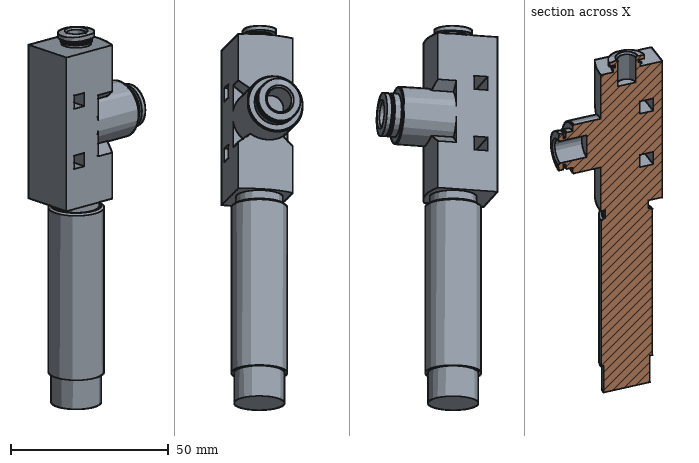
import cadquery as cq
import math

total_height = 123.5

base_diameter = 16.0
base_height = 10.0
sleeve_diameter = 17.8
sleeve_top = 65.3
sleeve_bevel_width = 0.9
sleeve_bevel_height = 0.6
neck_diameter = 15.0

block_width = 18.0
block_bottom = 68.2
block_top = 119.3
block_front = -12.2
block_back = 9.0
dome_sag = 1.7
block_middle = (block_bottom + block_top) / 2

mount_size = 4.5
mount_y = -6.8
mount_offset = 10.0

branch_diameter = 18.4
branch_end = 18.6
branch_edge_bevel = 0.4
overall_depth = 36.0
branch_tip = block_front + overall_depth

pocket_front = 1.2
pocket_height = 20.4
pocket_wall_angle = 37.0

bevel = 0.4
bore_bevel = 0.6
waist_height = 0.7
ring_thickness = 1.9
top_ring_width = 10.1
top_ring_length = 12.1
top_ring_slope_drop = 0.5
top_waist_diameter = 8.2
top_collar_diameter = 10.1
top_collar_foot_diameter = 9.5
top_collar_band = 0.4
top_bore_diameter = 6.0
top_bore_depth = 9.9
branch_ring_diameter = 13.8
branch_waist_diameter = 10.0
branch_bore_diameter = 8.0
branch_bore_depth = 9.9


def cylinder(diameter, bottom, top):
    return cq.Workplane("XY").workplane(offset=bottom).circle(diameter / 2).extrude(top - bottom)


def along_branch(shape):
    """Turn a shape built along +Z so that it lies along the branch axis, +Y."""
    return shape.rotate((0, 0, 0), (1, 0, 0), -90).translate((0, 0, block_middle))


def make_bore(diameter, depth, tip):
    """A blind bore with a bevelled mouth, reaching down from the tip of a fitting."""
    mouth = (
        cq.Workplane("XY").workplane(offset=tip).circle(diameter / 2 + bore_bevel)
        .extrude(-bore_bevel, taper=45)
    )
    return cylinder(diameter, tip - depth, tip).union(mouth)


def make_silencer():
    sleeve = cylinder(sleeve_diameter, base_height, sleeve_top)
    bevel_profile = [
        (sleeve_diameter / 2 - sleeve_bevel_width, sleeve_top),
        (sleeve_diameter / 2, sleeve_top),
        (sleeve_diameter / 2, sleeve_top - sleeve_bevel_height),
    ]
    bevel_ring = cq.Workplane("XZ").polyline(bevel_profile).close().revolve(360, (0, 0), (0, 1))
    base = cylinder(base_diameter, 0, base_height)
    neck = cylinder(neck_diameter, sleeve_top, block_bottom)
    return sleeve.cut(bevel_ring).union(base).union(neck)


def make_block():
    half_width = block_width / 2
    corner_y = block_back - dome_sag
    return (
        cq.Workplane("XY").workplane(offset=block_bottom)
        .moveTo(-half_width, block_front)
        .lineTo(half_width, block_front)
        .lineTo(half_width, corner_y)
        .threePointArc((0, block_back), (-half_width, corner_y))
        .close()
        .extrude(block_top - block_bottom)
    )


def make_pocket_cutter():
    """Both side openings: sloping walls that narrow toward the branch axis."""
    half_width = block_width / 2
    half_height = pocket_height / 2
    inner_z = half_height - half_width * math.tan(math.radians(pocket_wall_angle))
    profile = [
        (-half_width, -half_height),
        (0, -inner_z),
        (half_width, -half_height),
        (half_width, half_height),
        (0, inner_z),
        (-half_width, half_height),
    ]
    return along_branch(
        cq.Workplane("XY").workplane(offset=pocket_front).polyline(profile).close()
        .extrude(block_back - pocket_front)
    )


def make_mount_holes():
    return (
        cq.Workplane("YZ")
        .pushPoints([(mount_y, block_middle + side * mount_offset) for side in (-1, 1)])
        .rect(mount_size, mount_size)
        .extrude(block_width / 2, both=True)
    )


def make_branch():
    barrel = cylinder(branch_diameter, 0, branch_end).faces(">Z").chamfer(branch_edge_bevel)
    flats = cq.Workplane("XY").rect(block_width, branch_diameter).extrude(branch_end)
    return along_branch(barrel.intersect(flats))


def make_top_fitting():
    ring_bottom = total_height - ring_thickness
    collar_top = ring_bottom - waist_height
    band_bottom = collar_top - bevel - top_collar_band
    outline = (
        cq.Workplane("XY").workplane(offset=ring_bottom)
        .slot2D(top_ring_length, top_ring_width, 90)
        .extrude(ring_thickness)
    )
    mouth_radius = top_bore_diameter / 2 + bore_bevel
    slope_run = top_ring_length / 2 - mouth_radius
    cone = cylinder(top_ring_length, ring_bottom, total_height)
    cone = cone.faces(">Z").chamfer(top_ring_slope_drop, slope_run)
    ring = outline.intersect(cone)
    waist = cylinder(top_waist_diameter, collar_top, ring_bottom)
    collar = cylinder(top_collar_diameter, band_bottom, collar_top).faces(">Z").chamfer(bevel)
    foot = cylinder(top_collar_foot_diameter, block_top, band_bottom)
    return ring.union(waist).union(collar).union(foot)


def make_branch_fitting():
    ring_bottom = branch_tip - ring_thickness
    collar_top = ring_bottom - waist_height
    ring_bevel_run = (branch_ring_diameter - branch_waist_diameter) / 2
    ring = cylinder(branch_ring_diameter, ring_bottom, branch_tip)
    ring = ring.faces(">Z").chamfer(bevel, ring_bevel_run)
    waist = cylinder(branch_waist_diameter, collar_top, ring_bottom)
    collar = cylinder(branch_ring_diameter, branch_end, collar_top).faces(">Z").chamfer(bevel)
    return along_branch(ring.union(waist).union(collar))


block = make_block().cut(make_pocket_cutter()).cut(make_mount_holes())
body = block.union(make_branch()).union(make_branch_fitting())
body = body.union(make_silencer()).union(make_top_fitting())
body = body.cut(make_bore(top_bore_diameter, top_bore_depth, total_height))
result = body.cut(along_branch(make_bore(branch_bore_diameter, branch_bore_depth, branch_tip)))